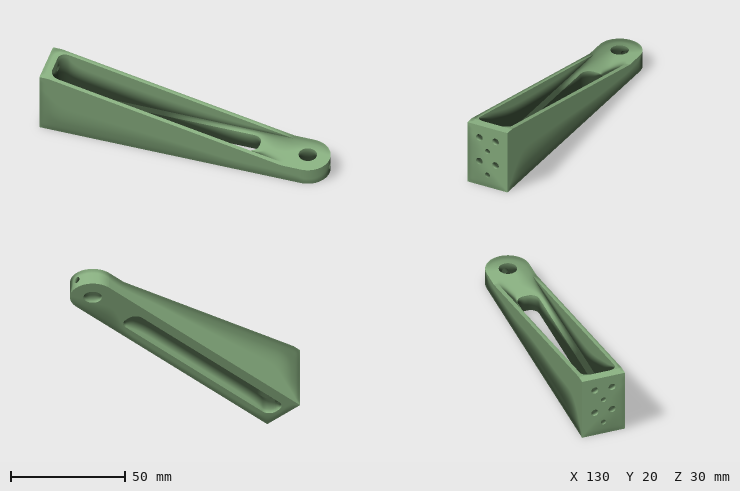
import cadquery as cq

length = 130.0
width = 20.0
height = 30.0

plate_thickness = 4.0
pad_height = 8.0
side_wall = 2.0
ramp_end = 110.9
pad_blend_radius = 5.0

pocket_corner_radius = 4.0
slot_width = 10.0
slot_end = 98.0
slot_corner_radius = 4.0
pivot_diameter = 8.0
clamp_hole_diameter = 3.0

screw_diameter = 3.2
screw_spacing = 8.0
dowel_diameter = 2.5
hole_row_pitch = 6.0

nose_radius = width / 2
pivot_x = length - nose_radius


def make_body():
    """Tapered side profile with a rounded nose."""
    profile = (
        cq.Workplane("XZ")
        .polyline([
            (0, 0),
            (length, 0),
            (length, pad_height),
            (ramp_end, pad_height),
            (plate_thickness, height),
            (0, height),
        ])
        .close()
        .extrude(width / 2, both=True)
    )
    blend_edge = cq.selectors.NearestToPointSelector((ramp_end, 0, pad_height))
    profile = profile.edges(blend_edge).fillet(pad_blend_radius)
    outline = (
        cq.Workplane("XY")
        .moveTo(0, -width / 2)
        .lineTo(pivot_x, -width / 2)
        .threePointArc((length, 0), (pivot_x, width / 2))
        .lineTo(0, width / 2)
        .close()
        .extrude(height)
    )
    return profile.intersect(outline)


def make_pocket():
    """Trough between the side walls, open toward the nose."""
    return (
        cq.Workplane("XY", origin=(0, 0, pad_height))
        .moveTo(plate_thickness, 0)
        .rect(length - plate_thickness, width - 2 * side_wall, centered=(False, True))
        .extrude(height - pad_height)
        .edges("|Z and <X")
        .fillet(pocket_corner_radius)
    )


def make_slot():
    """Rounded window through the floor of the trough."""
    return (
        cq.Workplane("XY")
        .moveTo(plate_thickness, 0)
        .rect(slot_end - plate_thickness, slot_width, centered=(False, True))
        .extrude(pad_height)
        .edges("|Z")
        .fillet(slot_corner_radius)
    )


def make_pivot_hole():
    return cq.Workplane("XY").center(pivot_x, 0).circle(pivot_diameter / 2).extrude(pad_height)


def make_clamp_hole():
    """Cross hole from the nose tip into the pivot hole."""
    return (
        cq.Workplane("YZ", origin=(pivot_x, 0, pad_height / 2))
        .circle(clamp_hole_diameter / 2)
        .extrude(nose_radius)
    )


def make_plate_holes(diameter, positions):
    """Holes at (y, z) positions, deep enough to clear the rounded pocket corners."""
    return (
        cq.Workplane("YZ")
        .pushPoints(positions)
        .circle(diameter / 2)
        .extrude(plate_thickness + pocket_corner_radius)
    )


dowel_positions = [(0, row * hole_row_pitch) for row in (1, 3)]
screw_positions = [
    (side * screw_spacing / 2, row * hole_row_pitch)
    for row in (2, 4)
    for side in (-1, 1)
]

result = (
    make_body()
    .cut(make_pocket())
    .cut(make_slot())
    .cut(make_pivot_hole())
    .cut(make_clamp_hole())
    .cut(make_plate_holes(dowel_diameter, dowel_positions))
    .cut(make_plate_holes(screw_diameter, screw_positions))
)